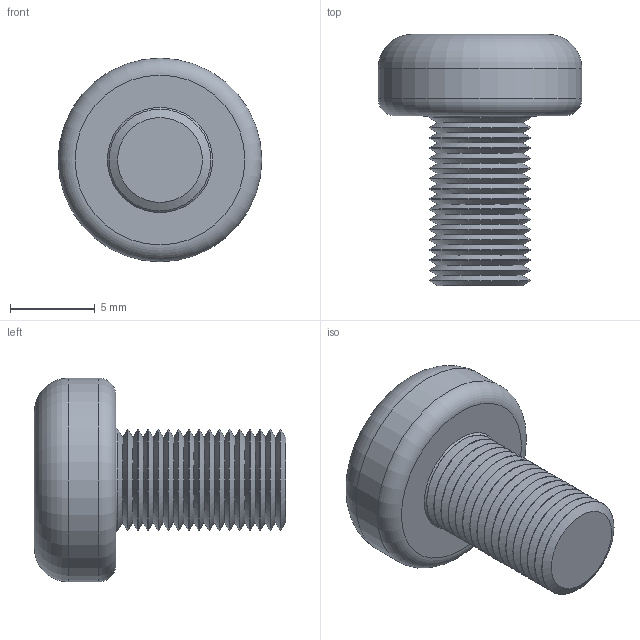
import cadquery as cq
import math

head_diameter = 12.0
head_height = 4.8
crown_radius = 2.0
underside_radius = 1.0

thread_diameter = 6.0
shank_length = 10.0
thread_pitch = 0.6
thread_depth = 0.5
thread_angle = 60.0
thread_count = 16
neck_flare = 0.1

head_r = head_diameter / 2
crest_r = thread_diameter / 2
root_r = crest_r - thread_depth
flank_length = thread_depth * math.tan(math.radians(thread_angle / 2))
crest_width = thread_pitch - 2 * flank_length


def make_head():
    """Round head along +Y, with its bearing face on the plane Y = 0."""
    head = cq.Workplane("XZ").circle(head_r).extrude(-head_height)
    head = head.faces(">Y").edges().fillet(crown_radius)
    return head.faces("<Y").edges().fillet(underside_radius)


def make_shank():
    """Shank along -Y, revolved from a profile with one V ridge per pitch."""
    tip_y = -shank_length
    profile = cq.Workplane("XY").moveTo(0, tip_y).lineTo(root_r, tip_y)
    for ridge in range(thread_count):
        ridge_start_y = tip_y + ridge * thread_pitch
        crest_start_y = ridge_start_y + flank_length
        profile = profile.lineTo(crest_r, crest_start_y)
        profile = profile.lineTo(crest_r, crest_start_y + crest_width)
        profile = profile.lineTo(root_r, ridge_start_y + thread_pitch)

    last_root_y = tip_y + thread_count * thread_pitch
    profile = profile.lineTo(crest_r, last_root_y + flank_length)
    profile = profile.lineTo(crest_r, -neck_flare)
    profile = profile.lineTo(crest_r + neck_flare, 0)
    profile = profile.lineTo(0, 0).close()
    return profile.revolve(360, (0, 0, 0), (0, 1, 0))


result = make_head().union(make_shank())